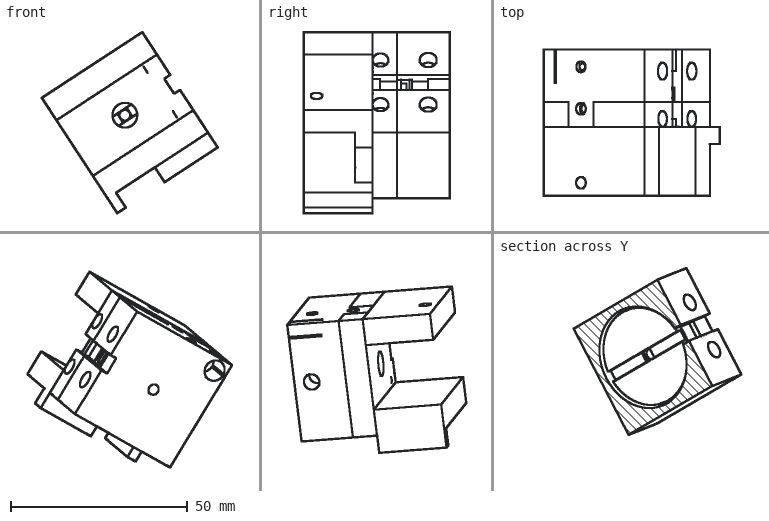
import cadquery as cq

tilt = 33.2

side = 34.0
half = side / 2
arm_length = 19.55
plate_thick = 6.95
housing_thick = 14.9
plate_back = plate_thick
housing_back = plate_back + housing_thick

arm_thick = 7.6
foot_drop = 5.0
left_foot_width = 2.9
right_foot_width = 18.0
right_foot_length = 4.9

tab_width = 8.5
tab_height = 2.0
tab_x = -4.4

top_hole_diameter = 3.3
tab_hole_y = plate_back - 1.85
tab_hole_depth = 2.75
arm_hole_y = 3.7 - arm_length
pilot_diameter = 1.95
pilot_depth = 6.15
pilot_y = housing_back - 4.9
countersink_diameter = 3.1
countersink_depth = 0.7

side_hole_diameter = 4.45
side_hole_depth = 5.0
side_hole_spacing = 15.05
side_hole_inset = side_hole_diameter / 2
housing_side_hole_diameter = 4.8
housing_side_hole_y = housing_back - 6.15
left_hole_depth = 8.2
left_hole_y = housing_back - 5.0

notch_width = 5.0
notch_depth = 2.0
slot_depth = 1.55
slot_front = 2.15
slot_back = 15.75

rod_inset = 3.8
rod_diameter = 6.0
rod_depth = 9.45
slit_width = 0.45

window_diameter = 7.0
bore_diameter = 29.3
bore_depth = 4.15
aperture_diameter = 3.0
disc_diameter = 28.2
disc_front = plate_back + 1.15
disc_thick = 2.4
groove_width = 3.15
groove_depth = 1.55


def block(x0, x1, y0, y1, z0, z1):
    """Box between two opposite corners."""
    return cq.Workplane("XY").box(x1 - x0, y1 - y0, z1 - z0, centered=False).translate((x0, y0, z0))


def rod(diameter, length, start, direction):
    """Cylinder from a start point along a direction."""
    return cq.Workplane(cq.Solid.makeCylinder(diameter / 2, length, cq.Vector(*start), cq.Vector(*direction)))


def axial_rod(diameter, y0, y1):
    """Cylinder on the optical axis."""
    return rod(diameter, y1 - y0, (0, y0, 0), (0, 1, 0))


def top_hole(diameter, y, depth):
    """Hole going down from the top face."""
    return rod(diameter, depth, (tab_x, y, half), (0, 0, -1))


def cut_side_holes(body, diameter, y):
    """Pair of blind holes in the +X face."""
    for z in (-side_hole_spacing / 2, side_hole_spacing / 2):
        body = body.cut(rod(diameter, side_hole_depth, (half, y, z), (-1, 0, 0)))
    return body


def side_notch():
    """Stepped notch running along the +X side of plate and housing."""
    floor = half - notch_depth
    notch = block(floor, half, 0, housing_back, -notch_width / 2, notch_width / 2)
    slot = block(floor - slot_depth, floor, slot_front, slot_back, -notch_width / 2, notch_width / 2)
    return notch.union(slot)


def tab():
    """Tab of the housing, across the whole thickness of the plate."""
    return block(tab_x - tab_width / 2, tab_x + tab_width / 2, 0, plate_back, half - tab_height, half)


def rod_socket():
    """Corner socket, with a slit to the top face and one to the left face."""
    front = housing_back - rod_depth
    x = rod_inset - half
    z = half - rod_inset
    edge = slit_width / 2
    socket = rod(rod_diameter, rod_depth, (x, front, z), (0, 1, 0))
    top_slit = block(x - edge, x + edge, front, housing_back, z, half)
    left_slit = block(-half, x, front, housing_back, z - edge, z + edge)
    return socket.union(top_slit).union(left_slit)


def countersunk_pilot():
    """Countersunk pilot hole in the top of the housing."""
    cone = cq.Solid.makeCone(
        countersink_diameter / 2,
        pilot_diameter / 2,
        countersink_depth,
        cq.Vector(tab_x, pilot_y, half),
        cq.Vector(0, 0, -1),
    )
    return top_hole(pilot_diameter, pilot_y, pilot_depth).union(cq.Workplane(cone))


def tab_hole():
    """Blind hole through the tab, ending just inside the plate."""
    return top_hole(top_hole_diameter, tab_hole_y, tab_hole_depth)


def make_upper_arm():
    arm = block(-half, half, -arm_length, 0, half - arm_thick, half)
    return arm.cut(top_hole(top_hole_diameter, arm_hole_y, arm_thick))


def make_lower_arm():
    foot_bottom = -half - foot_drop
    arm = block(-half, half, -arm_length, 0, -half, arm_thick - half)
    left_foot = block(-half, left_foot_width - half, -arm_length, 0, foot_bottom, -half)
    right_foot = block(half - right_foot_width, half, -right_foot_length, 0, foot_bottom, -half)
    return arm.union(left_foot).union(right_foot)


def make_plate():
    plate = block(-half, half, 0, plate_back, -half, half)
    plate = plate.cut(tab()).cut(tab_hole()).cut(side_notch())
    plate = plate.cut(axial_rod(window_diameter, 0, plate_back))
    return cut_side_holes(plate, side_hole_diameter, side_hole_inset)


def make_housing():
    housing = block(-half, half, plate_back, housing_back, -half, half).union(tab())
    housing = housing.cut(side_notch()).cut(rod_socket()).cut(countersunk_pilot())
    housing = housing.cut(tab_hole())
    housing = housing.cut(axial_rod(bore_diameter, plate_back, plate_back + bore_depth))
    housing = housing.cut(axial_rod(aperture_diameter, plate_back, housing_back))
    housing = housing.cut(rod(side_hole_diameter, left_hole_depth, (-half, left_hole_y, 0), (1, 0, 0)))
    return cut_side_holes(housing, housing_side_hole_diameter, housing_side_hole_y)


def make_disc():
    """Aperture disc with a groove across its front and a square opening."""
    disc_back = disc_front + disc_thick
    reach = disc_diameter / 2
    edge = groove_width / 2
    disc = axial_rod(disc_diameter, disc_front, disc_back)
    groove = block(-reach, reach, disc_front, disc_front + groove_depth, -edge, edge)
    opening = block(-edge, edge, disc_front, disc_back, -edge, edge)
    return disc.cut(groove).cut(opening)


def tilted(body):
    """Solid of a body, turned about the optical axis into its final attitude."""
    return body.rotate((0, 0, 0), (0, 1, 0), -tilt).val()


upper_arm = tilted(make_upper_arm())
lower_arm = tilted(make_lower_arm())
plate = tilted(make_plate())
housing = tilted(make_housing())
disc = tilted(make_disc())

result = cq.Compound.makeCompound([upper_arm, lower_arm, plate, housing, disc])